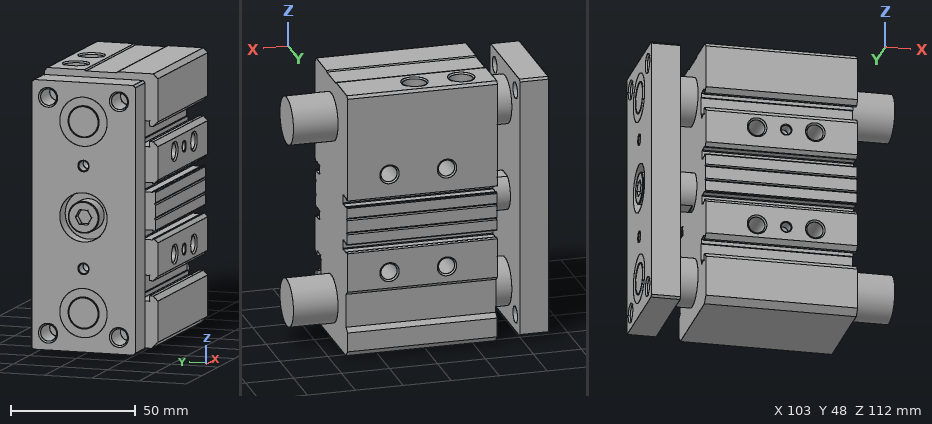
import cadquery as cq
import math


OVERALL_LENGTH = 103.0

PLATE_THICKNESS = 12.0
PLATE_WIDTH = 44.0
PLATE_HEIGHT = 110.0
PLATE_CHAMFER = 0.9

HOUSING_START = 22.0
HOUSING_LENGTH = 62.5
HOUSING_WIDTH = 48.0
HOUSING_HEIGHT = 112.0
HALF_WIDTH = HOUSING_WIDTH / 2
HALF_HEIGHT = HOUSING_HEIGHT / 2
FRONT_TOP_CHAMFER = 1.9
BACK_TOP_CHAMFER = 1.1
BOTTOM_CHAMFER = 2.7

GUIDE_DIAMETER = 20.0
GUIDE_OFFSET = 39.0
PISTON_DIAMETER = 16.0
PISTON_FLATS = 14.2
FLATS_END = 21.0
PISTON_DEPTH = HOUSING_LENGTH / 2
HEAD_DIAMETER = 13.0
HEAD_CHAMFER = 0.3
COUNTERBORE_DEPTH = 6.7
SOCKET_WIDTH = 5.9
SOCKET_DEPTH = 3.0

SCREW_DIAMETER = 6.7
SCREW_MOUTH_DIAMETER = 8.1
SCREW_PITCH_X = 24.0
PLATE_SCREW_Y = 15.0
PLATE_SCREW_Z = 48.0
PIN_DIAMETER = 4.0
PIN_MOUTH_DIAMETER = 4.7
PIN_DEPTH = 5.6
MOUNT_Z = 21.0
MOUNT_X = 55.0
DRILL_ANGLE = 118.0

PORT_POSITIONS_X = (34.5, 54.0)
PORT_Y = 14.9
PORT_DIAMETER = 9.7
PORT_MOUTH_DIAMETER = 11.0
PORT_DEPTH = 9.0
PORT_PASSAGE_DIAMETER = 3.4
PORT_PASSAGE_DEPTH = 15.7

T_SLOT_Z = 31.5
T_NECK_WIDTH = 6.3
T_NECK_DEPTH = 3.5
T_HEAD_WIDTH = 10.5
T_HEAD_DEPTH = 4.8
T_RELIEF_WIDTH = 7.2
T_RELIEF_DEPTH = 0.7
MOUTH_CHAMFER = 1.9

RIDGE_HALF_HEIGHT = 8.1
RIDGE_CHAMFER = 0.3
RIDGE_RECESS = 0.9
SIDE_SLOT_WIDTH = 3.2
SIDE_SLOT_DEPTH = 6.7
SIDE_SLOT_LIP = 0.3
SIDE_SLOT_LIP_DEPTH = 2.2
SIDE_SLOT_BEVEL = 0.3
SIDE_SLOT_CHAMFER = 1.5
RIDGE_GROOVE_Z = 3.0
RIDGE_GROOVE_WIDTH = 1.0
RIDGE_GROOVE_DEPTH = 0.5

BACK_CHANNEL_Z = -36.5
BACK_CHANNEL_WIDTH = 17.5
BACK_CHANNEL_FLOOR = 14.1
BACK_CHANNEL_DEPTH = 2.2

TOP_CHANNEL_WIDTH = 14.1
TOP_CHANNEL_FLOOR = 12.8
TOP_CHANNEL_DEPTH = 0.5


def rod_along_x(diameter, start, end, z=0):
    """Cylinder along X between two X positions, at Y = 0."""
    return cq.Workplane("YZ", origin=(start, 0, z)).circle(diameter / 2).extrude(end - start)


def drill(position, direction, diameter, depth, mouth_diameter, pointed=False):
    """Cutter for a hole with a 45 degree mouth, ending flat or in a drill point."""
    radius = diameter / 2
    mouth = mouth_diameter / 2
    point_length = radius / math.tan(math.radians(DRILL_ANGLE / 2)) if pointed else 0
    points = [(0, 0), (mouth, 0), (radius, mouth - radius), (radius, depth), (0, depth + point_length)]
    profile = cq.Workplane("XY").polyline(points).close()
    cutter = profile.revolve(360, (0, 0, 0), (0, 1, 0)).val()
    turn_axis, turn_angle = {
        "+X": ((0, 0, 1), -90),
        "+Y": ((0, 0, 1), 0),
        "-Y": ((0, 0, 1), 180),
        "-Z": ((1, 0, 0), -90),
    }[direction]
    turned = cutter.rotate(cq.Vector(0, 0, 0), cq.Vector(*turn_axis), turn_angle)
    return turned.moved(cq.Location(cq.Vector(*position)))


def housing_prism(points):
    """Closed (Y, Z) outline extruded over the length of the housing."""
    return cq.Workplane("YZ", origin=(HOUSING_START, 0, 0)).polyline(points).close().extrude(HOUSING_LENGTH)


def make_plate():
    """Plate with rod holes, pin holes and corner screw holes; the middle hole is counterbored."""
    plate = (
        cq.Workplane("YZ")
        .rect(PLATE_WIDTH, PLATE_HEIGHT)
        .extrude(PLATE_THICKNESS)
        .edges("|X")
        .chamfer(PLATE_CHAMFER)
    )
    for side in (1, -1):
        plate = plate.cut(rod_along_x(GUIDE_DIAMETER, 0, PLATE_THICKNESS, side * GUIDE_OFFSET))
        pin_position = (0, 0, side * MOUNT_Z)
        pin_hole = drill(pin_position, "+X", PIN_DIAMETER, PIN_DEPTH, PIN_MOUTH_DIAMETER, pointed=True)
        plate = plate.cut(pin_hole)
        for y in (PLATE_SCREW_Y, -PLATE_SCREW_Y):
            screw_position = (0, y, side * PLATE_SCREW_Z)
            plate = plate.cut(
                drill(screw_position, "+X", SCREW_DIAMETER, PLATE_THICKNESS, SCREW_MOUTH_DIAMETER)
            )
    plate = plate.cut(rod_along_x(HEAD_DIAMETER, 0, PLATE_THICKNESS))
    return plate.cut(rod_along_x(GUIDE_DIAMETER, 0, COUNTERBORE_DEPTH))


def make_guide_rod(side):
    """Guide rod running from the plate face to the far end, with a fine ring groove in its end face."""
    rod = rod_along_x(GUIDE_DIAMETER, 0, OVERALL_LENGTH, side * GUIDE_OFFSET)
    radius = HEAD_DIAMETER / 2
    groove = (
        cq.Workplane("XY")
        .polyline([(0, radius), (HEAD_CHAMFER, radius), (0, radius - HEAD_CHAMFER)])
        .close()
        .revolve(360, (0, 0, 0), (1, 0, 0))
        .translate((0, 0, side * GUIDE_OFFSET))
    )
    return rod.cut(groove)


def make_piston_rod():
    """Round rod with wrench flats; its head passes through the plate and has a hexagon socket."""
    head = rod_along_x(HEAD_DIAMETER, 0, PLATE_THICKNESS).faces("<X").chamfer(HEAD_CHAMFER)
    flat_slab = (
        cq.Workplane("YZ", origin=(PLATE_THICKNESS, 0, 0))
        .rect(PISTON_DIAMETER, PISTON_FLATS)
        .extrude(FLATS_END - PLATE_THICKNESS)
    )
    flatted_end = rod_along_x(PISTON_DIAMETER, PLATE_THICKNESS, FLATS_END).intersect(flat_slab)
    shaft = rod_along_x(PISTON_DIAMETER, FLATS_END, HOUSING_START + PISTON_DEPTH)
    corner_diameter = SOCKET_WIDTH / math.cos(math.radians(30))
    socket = cq.Workplane("YZ").polygon(6, corner_diameter).extrude(SOCKET_DEPTH)
    return head.union(flatted_end).union(shaft).cut(socket)


def housing_blank():
    return housing_prism([
        (-HALF_WIDTH, HALF_HEIGHT - FRONT_TOP_CHAMFER),
        (-HALF_WIDTH + FRONT_TOP_CHAMFER, HALF_HEIGHT),
        (HALF_WIDTH - BACK_TOP_CHAMFER, HALF_HEIGHT),
        (HALF_WIDTH, HALF_HEIGHT - BACK_TOP_CHAMFER),
        (HALF_WIDTH, -HALF_HEIGHT + BOTTOM_CHAMFER),
        (HALF_WIDTH - BOTTOM_CHAMFER, -HALF_HEIGHT),
        (-HALF_WIDTH + BOTTOM_CHAMFER, -HALF_HEIGHT),
        (-HALF_WIDTH, -HALF_HEIGHT + BOTTOM_CHAMFER),
    ])


def t_slot(z):
    """T-slot in the -Y face with a chamfered mouth and a shallow relief in its floor."""
    half_neck = T_NECK_WIDTH / 2
    half_head = T_HEAD_WIDTH / 2
    half_relief = T_RELIEF_WIDTH / 2
    neck_end = -HALF_WIDTH + T_NECK_DEPTH
    head_end = neck_end + T_HEAD_DEPTH
    upper = [
        (-HALF_WIDTH, half_neck + MOUTH_CHAMFER),
        (-HALF_WIDTH + MOUTH_CHAMFER, half_neck),
        (neck_end, half_neck),
        (neck_end, half_head),
        (head_end, half_head),
        (head_end, half_relief),
        (head_end + T_RELIEF_DEPTH, half_relief),
    ]
    lower = [(y, -dz) for y, dz in reversed(upper)]
    return housing_prism([(y, z + dz) for y, dz in upper + lower])


def side_slot(face, side):
    """Slot beside the finned ridge; only those in the -Y face have a chamfered outer edge."""
    mouth_low = RIDGE_HALF_HEIGHT
    mouth_high = mouth_low + SIDE_SLOT_WIDTH
    inner_low = mouth_low - SIDE_SLOT_LIP
    inner_high = mouth_high + SIDE_SLOT_LIP
    points = [
        (0, mouth_low),
        (SIDE_SLOT_LIP_DEPTH, mouth_low),
        (SIDE_SLOT_LIP_DEPTH, inner_low),
        (SIDE_SLOT_DEPTH - SIDE_SLOT_BEVEL, inner_low),
        (SIDE_SLOT_DEPTH, inner_low + SIDE_SLOT_BEVEL),
        (SIDE_SLOT_DEPTH, inner_high - SIDE_SLOT_BEVEL),
        (SIDE_SLOT_DEPTH - SIDE_SLOT_BEVEL, inner_high),
        (SIDE_SLOT_LIP_DEPTH, inner_high),
        (SIDE_SLOT_LIP_DEPTH, mouth_high),
    ]
    if face < 0:
        points.append((SIDE_SLOT_CHAMFER, mouth_high))
        points.append((0, mouth_high + SIDE_SLOT_CHAMFER))
    else:
        points.append((0, mouth_high))
    return housing_prism([(face * (HALF_WIDTH - depth), side * z) for depth, z in points])


def ridge_recess(face):
    """Material above the finned ridge, whose long edges are chamfered."""
    outer_face = face * HALF_WIDTH
    ridge_face = face * (HALF_WIDTH - RIDGE_RECESS)
    chamfer_end = ridge_face - face * RIDGE_CHAMFER
    half = RIDGE_HALF_HEIGHT
    half_flat = half - RIDGE_CHAMFER
    return housing_prism([
        (outer_face, -half),
        (chamfer_end, -half),
        (ridge_face, -half_flat),
        (ridge_face, half_flat),
        (chamfer_end, half),
        (outer_face, half),
    ])


def ridge_groove(face, side):
    """V-groove along the ridge."""
    ridge_face = face * (HALF_WIDTH - RIDGE_RECESS)
    bottom = ridge_face - face * RIDGE_GROOVE_DEPTH
    middle = side * RIDGE_GROOVE_Z
    half_width = RIDGE_GROOVE_WIDTH / 2
    return housing_prism([
        (ridge_face, middle - half_width),
        (bottom, middle),
        (ridge_face, middle + half_width),
    ])


def back_channel():
    half_mouth = BACK_CHANNEL_WIDTH / 2
    half_floor = BACK_CHANNEL_FLOOR / 2
    floor = HALF_WIDTH - BACK_CHANNEL_DEPTH
    return housing_prism([
        (HALF_WIDTH, BACK_CHANNEL_Z - half_mouth),
        (HALF_WIDTH, BACK_CHANNEL_Z + half_mouth),
        (floor, BACK_CHANNEL_Z + half_floor),
        (floor, BACK_CHANNEL_Z - half_floor),
    ])


def top_channel():
    half_mouth = TOP_CHANNEL_WIDTH / 2
    half_floor = TOP_CHANNEL_FLOOR / 2
    floor = HALF_HEIGHT - TOP_CHANNEL_DEPTH
    return housing_prism([
        (-half_mouth, HALF_HEIGHT),
        (half_mouth, HALF_HEIGHT),
        (half_floor, floor),
        (-half_floor, floor),
    ])


def cut_long_grooves(housing):
    for side in (1, -1):
        housing = housing.cut(t_slot(side * T_SLOT_Z))
    for face in (1, -1):
        housing = housing.cut(ridge_recess(face))
        for side in (1, -1):
            housing = housing.cut(side_slot(face, side))
            housing = housing.cut(ridge_groove(face, side))
    return housing.cut(back_channel()).cut(top_channel())


def cut_mounting_holes(housing):
    """Two through holes and a blind pin hole between them, in each mounting row."""
    for z in (MOUNT_Z, -MOUNT_Z):
        pin_position = (MOUNT_X, -HALF_WIDTH, z)
        pin_hole = drill(pin_position, "+Y", PIN_DIAMETER, PIN_DEPTH, PIN_MOUTH_DIAMETER, pointed=True)
        housing = housing.cut(pin_hole)
        for x in (MOUNT_X - SCREW_PITCH_X / 2, MOUNT_X + SCREW_PITCH_X / 2):
            for direction, y in (("+Y", -HALF_WIDTH), ("-Y", HALF_WIDTH)):
                screw = drill((x, y, z), direction, SCREW_DIAMETER, HALF_WIDTH, SCREW_MOUTH_DIAMETER)
                housing = housing.cut(screw)
    return housing


def cut_ports(housing):
    """Air ports in the top face, each with a narrow passage below its drill point."""
    for x in PORT_POSITIONS_X:
        position = (x, PORT_Y, HALF_HEIGHT)
        housing = housing.cut(
            drill(position, "-Z", PORT_DIAMETER, PORT_DEPTH, PORT_MOUTH_DIAMETER, pointed=True)
        )
        passage = cq.Workplane("XY", origin=position).circle(PORT_PASSAGE_DIAMETER / 2)
        housing = housing.cut(passage.extrude(-PORT_PASSAGE_DEPTH))
    return housing


def make_housing():
    housing_end = HOUSING_START + HOUSING_LENGTH
    housing = cut_ports(cut_mounting_holes(cut_long_grooves(housing_blank())))
    for side in (1, -1):
        housing = housing.cut(rod_along_x(GUIDE_DIAMETER, HOUSING_START, housing_end, side * GUIDE_OFFSET))
    return housing.cut(rod_along_x(PISTON_DIAMETER, HOUSING_START, HOUSING_START + PISTON_DEPTH))


plate = make_plate()
housing = make_housing()
piston_rod = make_piston_rod()
guide_rods = [make_guide_rod(side) for side in (1, -1)]

result = cq.Compound.makeCompound([
    plate.val(),
    housing.val(),
    piston_rod.val(),
    *[rod.val() for rod in guide_rods],
])